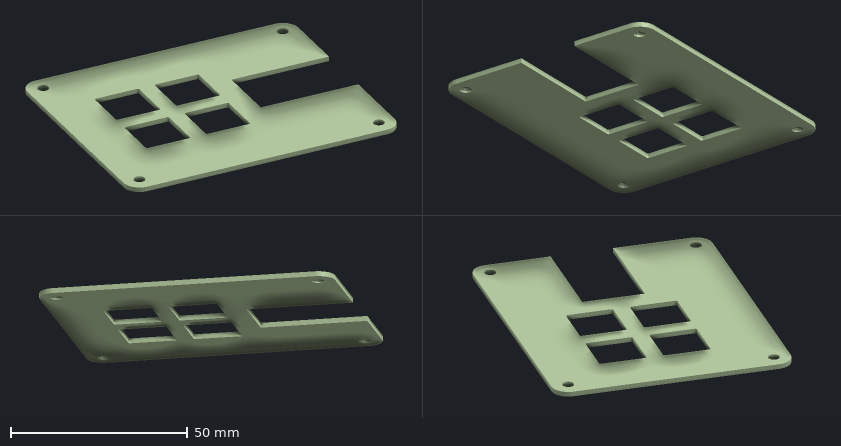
import cadquery as cq

width = 71.0
length = 86
thickness = 1.5
corner_radius = 5.0

hole_diameter = 3.4
hole_span_x = width - 2 * corner_radius
hole_span_y = length - 2 * corner_radius

notch_width = 18.6
notch_depth = 31
notch_center_x = -1.8

window_size = 14.0
window_corner_radius = 0.5
window_pitch = 19.0
grid_center = (-1.6, -11.4)


def make_plate():
    plate = cq.Workplane("XY").box(width, length, thickness)
    return plate.edges("|Z").fillet(corner_radius)


def make_mounting_holes():
    holes = cq.Workplane("XY").rarray(hole_span_x, hole_span_y, 2, 2)
    return holes.circle(hole_diameter / 2).extrude(thickness, both=True)


def make_notch():
    notch = cq.Workplane("XY").center(notch_center_x, length / 2)
    return notch.rect(notch_width, 2 * notch_depth).extrude(thickness, both=True)


def make_windows():
    grid = cq.Workplane("XY").center(*grid_center).rarray(window_pitch, window_pitch, 2, 2)
    windows = grid.rect(window_size, window_size).extrude(thickness, both=True)
    return windows.edges("|Z").fillet(window_corner_radius)


result = make_plate().cut(make_mounting_holes()).cut(make_notch()).cut(make_windows())